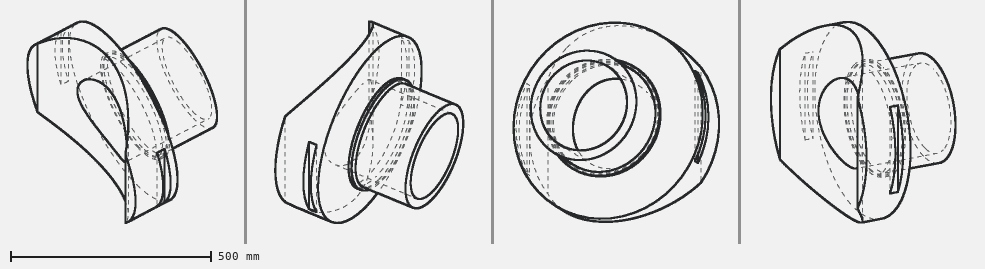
import cadquery as cq
import math

flange_diameter = 500.0
flange_thickness = 125.0
flange_radius = flange_diameter / 2

overall_length = 313.0
pipe_radius = 139.5
bore_radius = 114.5
neck_fillet_radius = 16.5

ring_outer_radius = 148.5
ring_width = 8.5
ring_count = 2
first_ring_offset = 25.5

saddle_half_width = 202.5
saddle_depth = 86.0
saddle_radius = (saddle_half_width**2 + saddle_depth**2) / (2 * saddle_depth)

slot_depth = 28.0
slot_width = 22.0
slot_offset = 21.0

flat_face_y = flange_thickness


def cylinder_along_y(radius, start_y, length):
    return cq.Workplane("XZ", origin=(0, start_y, 0)).circle(radius).extrude(-length)


def make_neck():
    """Concave collar blending the pipe into the flat flange face."""
    foot_radius = pipe_radius + neck_fillet_radius
    top_y = flat_face_y + neck_fillet_radius
    arc_middle_shift = neck_fillet_radius * math.sqrt(0.5)
    return (
        cq.Workplane("XY")
        .moveTo(bore_radius, flat_face_y)
        .lineTo(foot_radius, flat_face_y)
        .threePointArc(
            (foot_radius - arc_middle_shift, top_y - arc_middle_shift),
            (pipe_radius, top_y),
        )
        .lineTo(bore_radius, top_y)
        .close()
        .revolve(360, (0, 0, 0), (0, 1, 0))
    )


def make_ring(start_y):
    """Band around the pipe with a half-round outer edge."""
    edge_radius = ring_width / 2
    shoulder_radius = ring_outer_radius - edge_radius
    end_y = start_y + ring_width
    return (
        cq.Workplane("XY")
        .moveTo(bore_radius, start_y)
        .lineTo(shoulder_radius, start_y)
        .threePointArc((ring_outer_radius, start_y + edge_radius), (shoulder_radius, end_y))
        .lineTo(bore_radius, end_y)
        .close()
        .revolve(360, (0, 0, 0), (0, 1, 0))
    )


def make_saddle_cutter():
    axis_y = saddle_depth - saddle_radius
    return (
        cq.Workplane("XY", origin=(0, axis_y, 0))
        .circle(saddle_radius)
        .extrude(flange_radius, both=True)
    )


def make_slot_cutter(side):
    """Box reaching slot_depth into the rim; side is -1 or +1 along X."""
    center_x = side * flange_radius
    center_y = flat_face_y - slot_offset - slot_width / 2
    return cq.Workplane("XY", origin=(center_x, center_y, 0)).box(
        2 * slot_depth, slot_width, flange_diameter
    )


body = cylinder_along_y(flange_radius, 0, flange_thickness)
body = body.union(cylinder_along_y(pipe_radius, 0, overall_length))
body = body.union(make_neck())
for index in range(ring_count):
    body = body.union(make_ring(flat_face_y + first_ring_offset + index * ring_width))

body = body.cut(make_saddle_cutter())
for side in (-1, 1):
    body = body.cut(make_slot_cutter(side))

result = body.cut(cylinder_along_y(bore_radius, 0, overall_length))